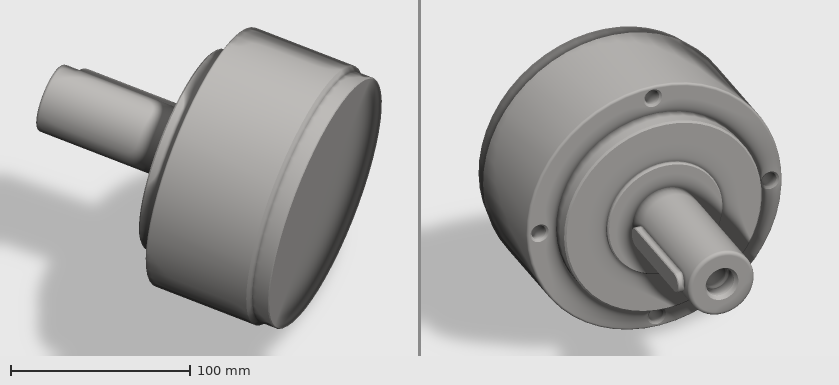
import cadquery as cq
import math

AXIS_TILT = 2.2

SHAFT_DIAMETER = 40.0
COLLAR_DIAMETER = 69.9
PILOT_DIAMETER = 120.0
BODY_DIAMETER = 155.0
REAR_DIAMETER = 150.0

SHAFT_LENGTH = 79.5
COLLAR_LENGTH = 2.6
PILOT_LENGTH = 12.3
BODY_LENGTH = 64.8
REAR_LENGTH = 10.2

SHAFT_ROUND = 2.0
COLLAR_CHAMFER = 0.7
PILOT_CHAMFER = 1.0
BODY_ROUND = 1.4
BODY_CHAMFER = (BODY_DIAMETER - REAR_DIAMETER) / 2
REAR_CHAMFER = 0.5

CENTRE_MOUTH_RADIUS = 10.0
CENTRE_RECESS_RADIUS = 8.5
CENTRE_CONE_RADIUS = 8.0
CENTRE_DRILL_RADIUS = 7.0
CENTRE_RECESS_DEPTH = 10.0
CENTRE_DRILL_DEPTH = 35.5
CENTRE_MOUTH_ANGLE = 30.0
CENTRE_CONE_ANGLE = 45.0

FACE_HOLE_COUNT = 4
FACE_HOLE_CIRCLE_RADIUS = 70.0
FACE_HOLE_MOUTH_RADIUS = 5.5
FACE_HOLE_RADIUS = 4.3
FACE_HOLE_DEPTH = 31.1
FACE_HOLE_MOUTH_ANGLE = 45.0

DRILL_POINT_ANGLE = 60.0

KEY_WIDTH = 12.0
KEY_LENGTH = 66.0
KEY_START = 7.0
KEY_TOP = 23.5
KEY_CHAMFER = 0.5

COLLAR_FACE = SHAFT_LENGTH
PILOT_FACE = COLLAR_FACE + COLLAR_LENGTH
BODY_FACE = PILOT_FACE + PILOT_LENGTH
REAR_STEP = BODY_FACE + BODY_LENGTH


def cone_length(radius_change, half_angle):
    """Axial length of a cone whose radius changes by the given amount."""
    return radius_change / math.tan(math.radians(half_angle))


def step(face, length, diameter):
    """Plain cylinder along X starting at the given axial place."""
    return cq.Workplane("YZ", origin=(face, 0, 0)).circle(diameter / 2).extrude(length)


def stepped_body():
    shaft = step(0, SHAFT_LENGTH, SHAFT_DIAMETER).faces("<X").edges().fillet(SHAFT_ROUND)
    collar = step(COLLAR_FACE, COLLAR_LENGTH, COLLAR_DIAMETER).faces("<X").edges().chamfer(COLLAR_CHAMFER)
    pilot = step(PILOT_FACE, PILOT_LENGTH, PILOT_DIAMETER).faces("<X").edges().chamfer(PILOT_CHAMFER)
    body = step(BODY_FACE, BODY_LENGTH, BODY_DIAMETER).faces("<X").edges().fillet(BODY_ROUND)
    body = body.faces(">X").edges().chamfer(BODY_CHAMFER)
    rear = step(REAR_STEP, REAR_LENGTH, REAR_DIAMETER).faces(">X").edges().chamfer(REAR_CHAMFER)
    return body.union(rear).union(pilot).union(collar).union(shaft)


def turned_cutter(outline):
    """Cutter made by turning an outline of (depth, radius) points about the X axis."""
    return cq.Workplane("XY").polyline(outline).close().revolve(360, (0, 0, 0), (1, 0, 0))


def centre_hole():
    mouth_depth = cone_length(CENTRE_MOUTH_RADIUS - CENTRE_RECESS_RADIUS, CENTRE_MOUTH_ANGLE)
    inner_cone = cone_length(CENTRE_CONE_RADIUS - CENTRE_DRILL_RADIUS, CENTRE_CONE_ANGLE)
    point_depth = CENTRE_DRILL_DEPTH + cone_length(CENTRE_DRILL_RADIUS, DRILL_POINT_ANGLE)
    return turned_cutter([
        (0, 0),
        (0, CENTRE_MOUTH_RADIUS),
        (mouth_depth, CENTRE_RECESS_RADIUS),
        (CENTRE_RECESS_DEPTH, CENTRE_RECESS_RADIUS),
        (CENTRE_RECESS_DEPTH, CENTRE_CONE_RADIUS),
        (CENTRE_RECESS_DEPTH + inner_cone, CENTRE_DRILL_RADIUS),
        (CENTRE_DRILL_DEPTH, CENTRE_DRILL_RADIUS),
        (point_depth, 0),
    ])


def face_holes():
    mouth_depth = cone_length(FACE_HOLE_MOUTH_RADIUS - FACE_HOLE_RADIUS, FACE_HOLE_MOUTH_ANGLE)
    point_depth = FACE_HOLE_DEPTH + cone_length(FACE_HOLE_RADIUS, DRILL_POINT_ANGLE)
    hole = turned_cutter([
        (0, 0),
        (0, FACE_HOLE_MOUTH_RADIUS),
        (mouth_depth, FACE_HOLE_RADIUS),
        (FACE_HOLE_DEPTH, FACE_HOLE_RADIUS),
        (point_depth, 0),
    ]).translate((BODY_FACE, 0, FACE_HOLE_CIRCLE_RADIUS))
    cutters = cq.Workplane("XY")
    for index in range(FACE_HOLE_COUNT):
        cutters.add(hole.rotate((0, 0, 0), (1, 0, 0), index * 360 / FACE_HOLE_COUNT))
    return cutters.combine()


def shaft_key():
    key = (
        cq.Workplane("XZ", origin=(KEY_START + KEY_LENGTH / 2, 0, 0))
        .slot2D(KEY_LENGTH, KEY_WIDTH)
        .extrude(-KEY_TOP)
    )
    return key.faces(">Y").edges().chamfer(KEY_CHAMFER)


straight_part = stepped_body().union(shaft_key()).cut(centre_hole()).cut(face_holes())
result = straight_part.rotate((0, 0, 0), (0, 1, 0), AXIS_TILT)